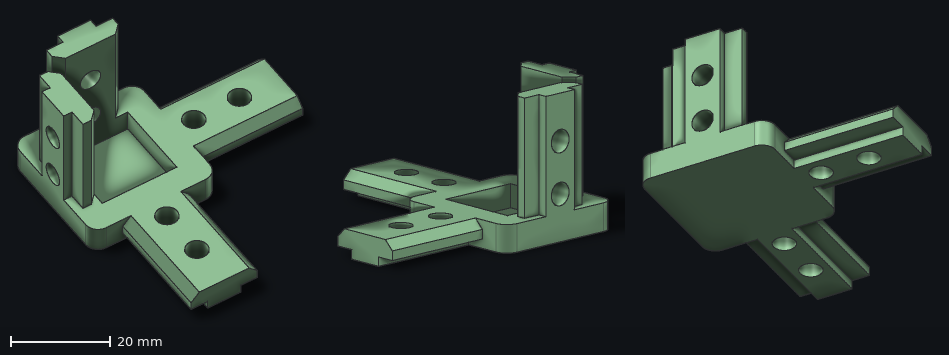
import cadquery as cq

overall = 55.0
hub_side = 30.0
hub_corner_radius = 3.0
thickness = 6.0
flange_width = 16.0
stem_width = 8.0
pocket_depth = 5.0
hole_diameter = 4.9
first_hole = 4.0
hole_pitch = 11.0

arm_length = overall - hub_side
centre = hub_side / 2
layer = thickness / 3
pocket_side = hub_side - 2 * thickness


def make_arm(root):
    """T-slot arm along the root plane's normal; its stem starts at local y = 0."""
    half_stem = stem_width / 2
    half_flange = flange_width / 2
    half_top = half_flange - layer
    right_side = [
        (half_stem, 0),
        (half_stem, layer),
        (half_flange, layer),
        (half_flange, 2 * layer),
        (half_top, thickness),
    ]
    left_side = [(-x, y) for x, y in reversed(right_side)]
    arm = cq.Workplane(root).polyline(right_side + left_side).close().extrude(arm_length)

    hole_plane = cq.Plane(origin=root.origin, xDir=root.xDir, normal=root.yDir)
    holes = (
        cq.Workplane(hole_plane)
        .pushPoints([(0, -first_hole), (0, -first_hole - hole_pitch)])
        .circle(hole_diameter / 2)
        .extrude(thickness)
    )
    return arm.cut(holes)


hub = (
    cq.Workplane("XY")
    .box(hub_side, hub_side, thickness, centered=False)
    .edges("|Z")
    .fillet(hub_corner_radius)
)
pocket = (
    cq.Workplane("XY", origin=(centre, centre, thickness - pocket_depth))
    .rect(pocket_side, pocket_side)
    .extrude(pocket_depth)
)
hub = hub.cut(pocket)

arm_roots = [
    cq.Plane(origin=(hub_side, centre, 0), xDir=(0, 1, 0), normal=(1, 0, 0)),
    cq.Plane(origin=(centre, hub_side, 0), xDir=(-1, 0, 0), normal=(0, 1, 0)),
    cq.Plane(origin=(centre, 0, thickness), xDir=(1, 0, 0), normal=(0, 0, 1)),
    cq.Plane(origin=(0, centre, thickness), xDir=(0, -1, 0), normal=(0, 0, 1)),
]

result = hub
for arm_root in arm_roots:
    result = result.union(make_arm(arm_root))